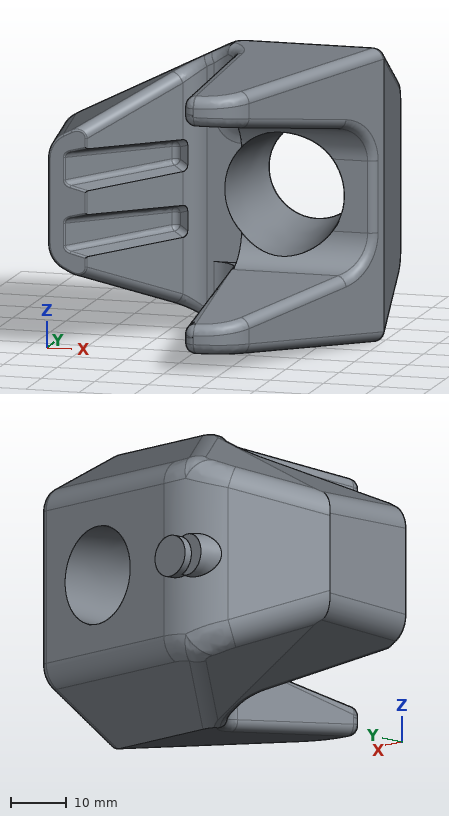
import cadquery as cq
import math


waist_y = -18.6
floor_y = -21.0
leg_end_y = -40.1
tip_y = -54.92

back_left_x = -25.3
back_right_x = 16.0
waist_left_x = -42.5
waist_right_x = 18.0
leg_left_x = -38.7
prong_end_x = -1.1
shoulder_x = -9.5
ridge_apex_x = -26.6
back_half_z = 17.0
waist_half_z = 27.0
tip_half_z = 23.5
waist_left_half_z = 10.4
leg_left_half_z = 11.0

gap_left_x = -17.0
gap_right_x = -8.0
leg_right_x = -31.6
gap_radius = 5.0
gap_rim_top_z = 22.8
gap_rim_leg_z = 14.6
prong_draft = 2.0
prong_tip_edge_radius = 2.05
prong_foot_edge_radius = 0.05
corner_overlap = 1.0

channel_left_x = -14.0
channel_half_z = 12.5
channel_radius = 7.0
mouth_half_z = 13.5
mouth_overlap = 1.0
channel_draft = 10.0

left_back_radius = 16.0
back_radius = 5.0
ridge_radius = 5.0
prong_end_radius = 10.0
edge_radius = 2.0
rim_radius = 1.9
leg_end_radius = 0.4

hole_back_radius = 9.0
hole_draft = 6.0
hole_length = 40.0

pocket_z = 6.05
pocket_depth = 3.25
pocket_start = -4.0
pocket_end = 22.6
pocket_start_floor_half = 2.9
pocket_start_mouth_half = 4.05
pocket_end_floor_half = 1.9
pocket_end_mouth_half = 2.9
pocket_overlap = 2.0
pocket_corner_radius = 1.1

boss_x = -24.8
boss_radius = 3.75
boss_length = 8.0
boss_draft = 9.0
pad_x = -21.75
pad_half_x = 4.15
pad_half_z = 3.75
pad_height = 1.5

oversize = 100.0


def edge_at(body, x, y, z):
    return body.edges(cq.selectors.NearestToPointSelector((x, y, z))).val()


def fillet_at(body, points, radius):
    """Round the edges nearest to the given points."""
    return body.newObject([edge_at(body, *point) for point in points]).fillet(radius)


def mirrored(x, y, z):
    return [(x, y, z), (x, y, -z)]


def midpoint(a, b):
    return tuple((p + q) / 2 for p, q in zip(a, b))


def cut_outside(body, a, b, c, side):
    """Remove everything beyond the plane through a, b and c, on the given side in Z."""
    origin = cq.Vector(*a)
    along = cq.Vector(*b) - origin
    normal = along.cross(cq.Vector(*c) - origin)
    if normal.z * side < 0:
        normal = -normal
    plane = cq.Plane(origin, along, normal)
    return body.cut(cq.Workplane(plane).rect(3 * oversize, 3 * oversize).extrude(oversize))


def envelope():
    """Convex faceted block around the body, the leg and the prongs."""
    left_slope = (leg_left_x - waist_left_x) / (waist_y - leg_end_y)
    plan = [
        (back_left_x, 0),
        (back_right_x, 0),
        (waist_right_x, waist_y),
        (prong_end_x, tip_y),
        (waist_left_x + left_slope * (waist_y - tip_y), tip_y),
        (waist_left_x, waist_y),
    ]
    profile = [
        (0, back_half_z),
        (waist_y, waist_half_z),
        (tip_y, tip_half_z),
        (tip_y, -tip_half_z),
        (waist_y, -waist_half_z),
        (0, -back_half_z),
    ]
    body = cq.Workplane("XY").polyline(plan).close().extrude(oversize, both=True)
    body = body.intersect(cq.Workplane("YZ").polyline(profile).close().extrude(oversize, both=True))
    for side in (1, -1):
        shoulder = (shoulder_x, waist_y, side * waist_half_z)
        waist_corner = (waist_left_x, waist_y, side * waist_left_half_z)
        ridge_apex = (ridge_apex_x, 0, side * back_half_z)
        leg_corner = (leg_left_x, leg_end_y, side * leg_left_half_z)
        body = cut_outside(body, waist_corner, shoulder, ridge_apex, side)
        body = cut_outside(body, waist_corner, shoulder, leg_corner, side)
    return body


def round_envelope(body):
    shoulder = (shoulder_x, waist_y, waist_half_z)
    waist_corner = (waist_left_x, waist_y, waist_left_half_z)
    back_corner = (back_left_x, 0, back_half_z)
    leg_corner = (leg_left_x, leg_end_y, leg_left_half_z)
    right_corner = (waist_right_x, waist_y, waist_half_z)
    back_right = (back_right_x, 0, back_half_z)

    body = fillet_at(body, [(back_left_x, 0, 0)], left_back_radius)
    body = fillet_at(body, mirrored(0, 0, back_half_z), back_radius)
    body = fillet_at(body, mirrored(*midpoint(back_corner, shoulder)), ridge_radius)
    side_ridges = mirrored(*midpoint(back_corner, waist_corner))
    side_ridges += mirrored(*midpoint(waist_corner, leg_corner))
    body = fillet_at(body, side_ridges, ridge_radius)
    body = fillet_at(body, [(prong_end_x, tip_y, 0)], prong_end_radius)
    prong_corner = (prong_end_x, tip_y, tip_half_z)
    right_edges = mirrored(*midpoint(right_corner, back_right))
    right_edges += mirrored(*midpoint(right_corner, prong_corner))
    right_edges.append((back_right_x, 0, 0))
    return fillet_at(body, right_edges, edge_radius)


def gap_cutter():
    prong_tip_x = gap_right_x - (floor_y + oversize) * math.tan(math.radians(prong_draft))
    outline = [
        (gap_left_x, floor_y),
        (gap_right_x, floor_y),
        (prong_tip_x, -oversize),
        (-oversize, -oversize),
        (-oversize, leg_end_y),
        (leg_right_x, leg_end_y),
    ]
    cutter = cq.Workplane("XY").polyline(outline).close().extrude(oversize / 2, both=True)
    corners = [(gap_left_x, floor_y, 0), (gap_right_x, floor_y, 0)]
    return fillet_at(cutter, corners, gap_radius)


def channel_cutter():
    spread = (floor_y + oversize) * math.tan(math.radians(channel_draft))
    outline = [
        (floor_y, channel_half_z),
        (floor_y, -channel_half_z),
        (-oversize, -channel_half_z - spread),
        (-oversize, channel_half_z + spread),
    ]
    cutter = cq.Workplane("YZ", origin=(channel_left_x, 0, 0)).polyline(outline).close().extrude(oversize)
    middle_x = channel_left_x + oversize / 2
    cutter = fillet_at(cutter, mirrored(middle_x, floor_y, channel_half_z), channel_radius)
    kept_corner = cq.Workplane("XY").box(oversize, gap_radius, oversize, centered=(False, False, True))
    return cutter.cut(kept_corner.translate((gap_right_x - oversize, floor_y - gap_radius, 0)))


def mouth_cutter():
    """Clears the gap's foot fillet across the channel mouth, leaving it swept round each prong corner."""
    mouth_length = gap_radius + mouth_overlap
    mouth = cq.Workplane("XY").box(mouth_length, gap_radius, 2 * mouth_half_z)
    mouth = mouth.translate((gap_right_x - mouth_length / 2, floor_y - gap_radius / 2, 0))
    foot = (
        cq.Workplane("XY")
        .moveTo(0, floor_y)
        .lineTo(gap_radius, floor_y)
        .radiusArc((0, floor_y - gap_radius), -gap_radius)
        .close()
        .revolve(360, (0, 0, 0), (0, 1, 0))
    )
    for side in (1, -1):
        mouth = mouth.cut(foot.translate((gap_right_x, 0, side * mouth_half_z)))
    return mouth


def prong_corner_cutter():
    """Removes the inner corner of a prong, from nearly sharp at the foot to full radius at the tip."""

    def section(y, radius):
        drop = floor_y - y
        x = gap_right_x - drop * math.tan(math.radians(prong_draft))
        z = channel_half_z + drop * math.tan(math.radians(channel_draft))
        corner = cq.Vector(x - corner_overlap, y, z - corner_overlap)
        along_x = cq.Vector(x + radius, y, z - corner_overlap)
        tangent_x = cq.Vector(x + radius, y, z)
        along_z = cq.Vector(x - corner_overlap, y, z + radius)
        tangent_z = cq.Vector(x, y, z + radius)
        middle = radius * (1 - math.sqrt(0.5))
        arc_middle = cq.Vector(x + middle, y, z + middle)
        return cq.Wire.assembleEdges(
            [
                cq.Edge.makeLine(corner, along_x),
                cq.Edge.makeLine(along_x, tangent_x),
                cq.Edge.makeThreePointArc(tangent_x, arc_middle, tangent_z),
                cq.Edge.makeLine(tangent_z, along_z),
                cq.Edge.makeLine(along_z, corner),
            ]
        )

    foot = section(floor_y - channel_radius, prong_foot_edge_radius)
    tip = section(tip_y, prong_tip_edge_radius)
    return cq.Workplane(cq.Solid.makeLoft([foot, tip], True))


def round_rims(body):
    """Round the rims of the gap, the channel and the prong tips."""
    prong_edge_spread = (floor_y - tip_y) * math.tan(math.radians(channel_draft))
    prong_inner_tip = (prong_end_x, tip_y, channel_half_z + prong_edge_spread)
    channel_edge_start = (waist_right_x, waist_y, channel_half_z)
    prong_tip_x = gap_right_x - (floor_y - tip_y) * math.tan(math.radians(prong_draft))
    prong_tip_z = (channel_half_z + prong_edge_spread + tip_half_z) / 2
    gap_rim_top = (gap_left_x, floor_y, gap_rim_top_z)
    gap_rim_leg = (leg_right_x, leg_end_y, gap_rim_leg_z)
    gap_rim = mirrored(*midpoint(gap_rim_top, gap_rim_leg))
    channel_rim = mirrored(*midpoint(channel_edge_start, prong_inner_tip))
    tip_rim = mirrored(prong_tip_x, tip_y, prong_tip_z)
    return fillet_at(body, gap_rim + channel_rim + tip_rim, rim_radius)


def hole_cutter():
    clearance = cq.Workplane("XZ", origin=(0, pad_height, 0)).circle(hole_back_radius).extrude(pad_height)
    taper = cq.Workplane("XZ").circle(hole_back_radius).extrude(hole_length, taper=-hole_draft)
    return clearance.union(taper)


def pocket_cutter(center_z):
    rise = math.atan2(floor_y - leg_end_y, gap_left_x - leg_right_x)
    along = cq.Vector(math.cos(rise), math.sin(rise), 0)
    outward = cq.Vector(math.sin(rise), -math.cos(rise), 0)
    face_start = cq.Vector(leg_right_x, leg_end_y, center_z)

    def section(station, floor_half, mouth_half):
        top_half = mouth_half + (mouth_half - floor_half) * pocket_overlap / pocket_depth
        outline = [
            (-pocket_depth, -floor_half),
            (pocket_overlap, -top_half),
            (pocket_overlap, top_half),
            (-pocket_depth, floor_half),
        ]
        plane = cq.Plane(face_start + along * station, outward, along)
        return cq.Workplane(plane).polyline(outline).close().val()

    start = section(pocket_start, pocket_start_floor_half, pocket_start_mouth_half)
    end = section(pocket_end, pocket_end_floor_half, pocket_end_mouth_half)
    cutter = cq.Workplane(cq.Solid.makeLoft([start, end], True))

    floor_middle = face_start + along * (pocket_start + pocket_end) / 2 - outward * pocket_depth
    floor_end = face_start + along * pocket_end - outward * pocket_depth
    wall_end = face_start + along * pocket_end
    rounded = [floor_end.toTuple()]
    for side in (1, -1):
        rounded.append((floor_middle + cq.Vector(0, 0, side * pocket_start_floor_half)).toTuple())
        rounded.append((wall_end + cq.Vector(0, 0, side * pocket_end_mouth_half)).toTuple())
    return fillet_at(cutter, rounded, pocket_corner_radius)


def round_leg_end(body):
    leg_middle = ((leg_left_x + leg_right_x) / 2, leg_end_y, 0)
    return body.faces(cq.selectors.NearestToPointSelector(leg_middle)).edges().fillet(leg_end_radius)


def back_boss():
    boss = cq.Workplane("XZ", origin=(boss_x, 0, 0)).circle(boss_radius)
    boss = boss.extrude(boss_length, taper=-boss_draft)
    pad = (
        cq.Workplane("XZ", origin=(pad_x, pad_height, 0))
        .ellipse(pad_half_x, pad_half_z)
        .extrude(boss_length)
    )
    return boss.union(pad)


body = round_envelope(envelope())
body = body.cut(gap_cutter())
body = body.cut(channel_cutter().union(mouth_cutter()))
corner_cutter = prong_corner_cutter()
body = body.cut(corner_cutter).cut(corner_cutter.mirror("XY"))
body = round_rims(body)
for side in (1, -1):
    body = body.cut(pocket_cutter(side * pocket_z))
body = round_leg_end(body)
body = body.union(back_boss())
result = body.cut(hole_cutter())